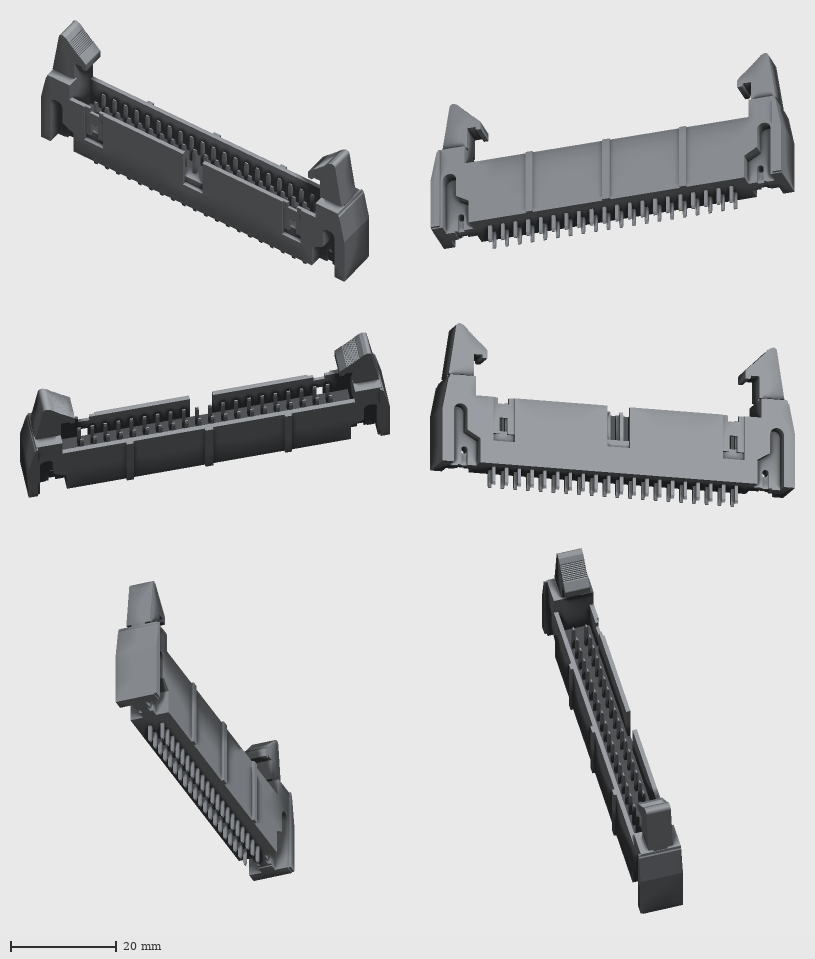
import cadquery as cq
import math


length = 70.0
depth = 7.85
wall = 0.85
wall_top = 13.1
floor_top = 6.65
tower_inner_x = 28.35
front_y = -depth / 2
back_y = depth / 2

tower_top = 16.9
tower_crown_x = 33.45
tower_bevel_top = (33.6, 16.3)
tower_bevel_bottom = (33.8, 16.1)
tower_slope_z = 10.15
foot_drop = 0.2
foot_inner_x = 31.15

web_thickness = 2.7
pocket_outer_x = 32.75
pocket_arch_x = 30.0
pocket_inner_x = 27.5
pocket_arch_top = 11.3
pocket_step_high = 6.2
pocket_step_low = 4.75
pivot_x = 29.9
pivot_z = 2.95
pivot_diameter = 1.25
pivot_groove_depth = 0.55

lever_width = 4.8
lever_base = 17.35
lever_base_x = 33.3
lever_tip_outer = (31.85, 26.8)
lever_tip_top = (31.1, 27.45)
lever_tip_inner = (30.4, 27.15)
hook_x = 25.6
hook_shoulder_z = 22.55
hook_shoulder_radius = 0.4
hook_bottom = 20.9
hook_lip_x = 26.7
hook_lip_chamfer = 0.2
hook_ceiling = 21.55
grip_start_x = 29.55
grip_end_x = 27.0
grip_tooth_count = 10
grip_depth = 0.15

pin_columns = 20
pin_row_length = 48.15
pin_pitch = pin_row_length / (pin_columns - 1)
pin_width = 0.6
pin_tip_width = 0.2
pin_tip_height = 0.55
pin_top = 12.7
pin_bottom = -3.4

key_width = 4.5
key_bottom = 5.1

catch_x = 9 * pin_pitch
catch_width = 4.3
catch_depth = 0.3
catch_bottom = 4.5
catch_ledge = 6.0
catch_window_width = 1.6
catch_window_top = 9.2
catch_notch_width = 2.2
catch_notch_bottom = 11.9

rib_height = 0.5
rib_width = 1.3
middle_rib_width = 1.55
rib_x = 15.3
end_rib_inner_x = 33.2
end_rib_top = 16.65


def block(x0, x1, y0, y1, z0, z1):
    """Box between two opposite corners."""
    return cq.Workplane("XY").box(x1 - x0, y1 - y0, z1 - z0, centered=False).translate((x0, y0, z0))


def plate(points, y0, y1):
    """X-Z outline extruded from y0 to y1."""
    return cq.Workplane("XZ", origin=(0, y0, 0)).polyline(points).close().extrude(y0 - y1)


def both_ends(solid):
    """The right-hand solid together with its mirror image at the left end."""
    return solid.union(solid.mirror("YZ"))


def make_housing():
    half = length / 2
    body = block(-tower_inner_x, tower_inner_x, front_y, back_y, 0, wall_top)
    cavity = block(-tower_inner_x, tower_inner_x, front_y + wall, back_y - wall, floor_top, wall_top)
    tower = plate(
        [
            (tower_inner_x, 0),
            (foot_inner_x, 0),
            (foot_inner_x, -foot_drop),
            (half, -foot_drop),
            (half, tower_slope_z),
            tower_bevel_bottom,
            tower_bevel_top,
            (tower_crown_x, tower_top),
            (tower_inner_x, tower_top),
        ],
        front_y,
        back_y,
    )
    return body.cut(cavity).union(both_ends(tower))


def make_back_ribs():
    half = length / 2
    rib_y = back_y + rib_height
    ribs = block(-middle_rib_width / 2, middle_rib_width / 2, back_y, rib_y, 0, wall_top)
    side_rib = block(rib_x - rib_width / 2, rib_x + rib_width / 2, back_y, rib_y, 0, wall_top)
    end_rib = plate(
        [
            (end_rib_inner_x, 0),
            (half, 0),
            (half, tower_slope_z),
            tower_bevel_bottom,
            tower_bevel_top,
            (tower_crown_x, end_rib_top),
            (end_rib_inner_x, end_rib_top),
        ],
        back_y,
        rib_y,
    )
    return ribs.union(both_ends(side_rib)).union(both_ends(end_rib))


def make_tower_pocket():
    """Arched pocket on the front and back of a tower, with the pivot hole through the web."""
    arch_radius = (pocket_outer_x - pocket_arch_x) / 2
    arch_spring = pocket_arch_top - arch_radius
    web_y = web_thickness / 2
    below = -2 * foot_drop
    profile = (
        cq.Workplane("XZ", origin=(0, -web_y, 0))
        .moveTo(pocket_outer_x, below)
        .lineTo(pocket_outer_x, arch_spring)
        .threePointArc((pocket_outer_x - arch_radius, pocket_arch_top), (pocket_arch_x, arch_spring))
        .lineTo(pocket_arch_x, pocket_step_high)
        .lineTo(pocket_inner_x, pocket_step_low)
        .lineTo(pocket_inner_x, below)
        .close()
    )
    pocket = profile.extrude(depth / 2 - web_y)
    groove = block(
        pivot_x - pivot_diameter / 2,
        pivot_x + pivot_diameter / 2,
        -web_y,
        -web_y + pivot_groove_depth,
        0,
        pivot_z,
    )
    front = pocket.union(groove)
    pivot = (
        cq.Workplane("XZ", origin=(pivot_x, 0, pivot_z))
        .circle(pivot_diameter / 2)
        .extrude(web_y, both=True)
    )
    return front.union(front.mirror("XZ")).union(pivot)


def make_lever():
    """Latch lever with a hooked, serrated head on a narrower neck."""
    neck_bottom_z = tower_bevel_top[1]
    lean = (lever_base_x - lever_tip_outer[0]) / (lever_tip_outer[1] - lever_base)
    neck_bottom_x = lever_base_x + lean * (lever_base - neck_bottom_z)
    lever = (
        cq.Workplane("XZ")
        .moveTo(tower_inner_x, neck_bottom_z)
        .lineTo(neck_bottom_x, neck_bottom_z)
        .lineTo(*lever_tip_outer)
        .tangentArcPoint(lever_tip_top, relative=False)
        .lineTo(*lever_tip_inner)
        .lineTo(hook_x, hook_shoulder_z)
        .lineTo(hook_x, hook_bottom)
        .lineTo(hook_lip_x - hook_lip_chamfer, hook_bottom)
        .lineTo(hook_lip_x, hook_bottom + hook_lip_chamfer)
        .lineTo(hook_lip_x, hook_ceiling)
        .lineTo(tower_inner_x, hook_ceiling)
        .close()
        .extrude(lever_width / 2, both=True)
    )
    shoulder = cq.selectors.NearestToPointSelector((hook_x, 0, hook_shoulder_z))
    lever = lever.edges("|Y").edges(shoulder).fillet(hook_shoulder_radius)

    relief = block(
        tower_inner_x, neck_bottom_x, web_thickness / 2, lever_width / 2, neck_bottom_z, lever_base
    )
    return lever.cut(relief).cut(relief.mirror("XZ")).cut(make_grip_grooves())


def make_grip_grooves():
    """V-grooves across the inclined face of the lever head."""
    slope = (lever_tip_inner[1] - hook_shoulder_z) / (lever_tip_inner[0] - hook_x)
    slope_angle = math.atan(slope)
    groove_pitch = (grip_start_x - grip_end_x) / grip_tooth_count
    grooves = cq.Workplane("XZ")
    for index in range(grip_tooth_count):
        x0 = grip_end_x + index * groove_pitch
        x1 = x0 + groove_pitch
        z0 = hook_shoulder_z + slope * (x0 - hook_x)
        z1 = z0 + slope * groove_pitch
        root_x = (x0 + x1) / 2 + grip_depth * math.sin(slope_angle)
        root_z = (z0 + z1) / 2 - grip_depth * math.cos(slope_angle)
        groove = plate([(x0, z0), (x1, z1), (root_x, root_z)], -lever_width / 2, lever_width / 2)
        grooves = grooves.add(groove)
    return grooves.combine()


def make_key_window():
    return block(-key_width / 2, key_width / 2, front_y, front_y + wall, key_bottom, wall_top)


def make_catch_recess():
    """Shallow recess with a deep ledge, a window and a notch in the wall's rim."""
    inner_y = front_y + wall

    def opening(width, y1, z0, z1):
        return block(catch_x - width / 2, catch_x + width / 2, front_y, y1, z0, z1)

    recess = opening(catch_width, front_y + catch_depth, catch_bottom, wall_top)
    ledge = opening(catch_width, inner_y, catch_bottom, catch_ledge)
    window = opening(catch_window_width, inner_y, catch_bottom, catch_window_top)
    notch = opening(catch_notch_width, inner_y, catch_notch_bottom, wall_top)
    return recess.union(ledge).union(window).union(notch)


def make_pins():
    """Two rows of square pins with chisel-shaped ends."""
    half = pin_width / 2
    tip = pin_tip_width / 2
    outline = [
        (-tip, pin_bottom),
        (tip, pin_bottom),
        (half, pin_bottom + pin_tip_height),
        (half, pin_top - pin_tip_height),
        (tip, pin_top),
        (-tip, pin_top),
        (-half, pin_top - pin_tip_height),
        (-half, pin_bottom + pin_tip_height),
    ]
    pin = cq.Workplane("YZ").polyline(outline).close().extrude(half, both=True).val()
    pins = cq.Workplane("XY")
    for column in range(pin_columns):
        x = column * pin_pitch - pin_row_length / 2
        for row_y in (-pin_pitch / 2, pin_pitch / 2):
            pins = pins.add(pin.translate(cq.Vector(x, row_y, 0)))
    return pins.combine()


result = (
    make_housing()
    .union(make_back_ribs())
    .cut(both_ends(make_tower_pocket()))
    .cut(make_key_window())
    .cut(both_ends(make_catch_recess()))
    .union(both_ends(make_lever()))
    .union(make_pins())
)